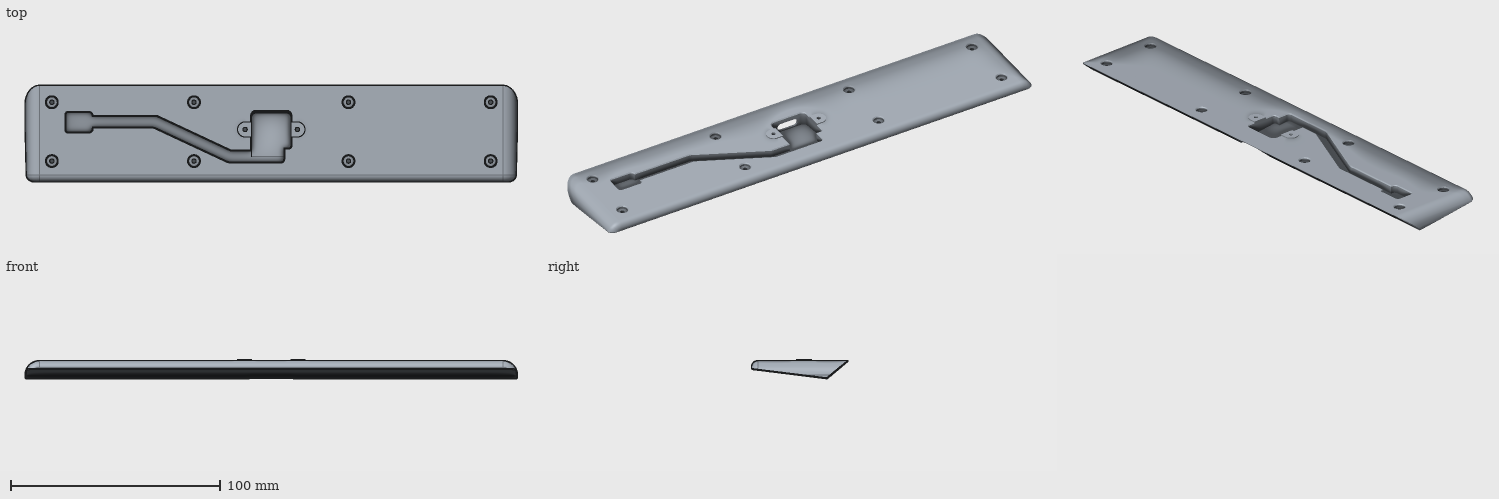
import cadquery as cq
import math


length = 235.36
width = 46.33
total_height = 9.31

bottom_tilt = 7.1
rear_slope = 40.0
end_radius = 7.0
front_radius = 3.3
lower_edge_chamfer = 0.5

screw_x = (-104.8, -36.9, 36.9, 104.8)
screw_y = (-13.1, 15.0)
screw_hole_diameter = 2.08
screw_hole_depth = 4.0
screw_head_diameter = 5.2
screw_head_depth = 1.5

rim_chamfer = 0.45

channel_depth = 4.0
channel_width = 5.2
channel_end_x = 6.0
channel_start_y = 5.7
channel_end_y = -10.95
channel_end_radius = 1.5
bend_start_x = -55.4
bend_end_x = -19.8
bend_radius = 4.0

end_pocket_left = -98.1
end_pocket_right = -85.5
end_pocket_bottom = 0.7
end_pocket_top = 10.2
end_pocket_left_radius = 1.2
end_pocket_right_radius = 1.8

pocket_half_width = 9.4
pocket_back_y = 10.6
pocket_step_y = -6.8
pocket_floor_start_y = -11.0
pocket_front_reach_y = -11.55
pocket_corner_radius = 2.2
pocket_step_radius = 1.2

lug_height = 0.5
lug_x = 12.5
lug_y = 2.0
lug_radius = 3.6
lug_hole_diameter = 2.08
lug_hole_depth = 3.5

port_width = 11.0
port_height = 3.6
port_z = -4.2
port_wall = 1.0
port_start_inset = 2.0
port_cut_length = 10.0
port_recess_width = 21.2
port_recess_top_z = -1.5

front_y = -width / 2
back_y = width / 2
plate_depth = total_height - lug_height
tilt_slope = math.tan(math.radians(bottom_tilt))
rear_tip_y = back_y + lower_edge_chamfer * math.cos(math.radians(rear_slope))
deepest_y = rear_tip_y - plate_depth / math.tan(math.radians(rear_slope))
front_z = -plate_depth + (deepest_y - front_y) * tilt_slope
screw_points = [(x, y) for x in screw_x for y in screw_y]
lug_points = [(side * lug_x, lug_y) for side in (-1, 1)]


def perpendicular_to_underside(shape):
    """Lean a vertical shape so that its walls stand square to the tilted underside."""
    return shape.rotate((0, 0, 0), (1, 0, 0), -bottom_tilt)


def wedge_body():
    profile = [(front_y, 0), (rear_tip_y, 0), (deepest_y, -plate_depth), (front_y, front_z)]
    body = cq.Workplane("YZ").polyline(profile).close().extrude(length / 2, both=True)
    body = body.faces("<X or >X").edges(">Z").fillet(end_radius)
    body = body.faces(">Z").edges("<Y").fillet(front_radius)
    underside = body.faces(cq.selectors.DirectionMinMaxSelector(cq.Vector(0, -tilt_slope, -1), True))
    rear_face = body.faces(cq.selectors.DirectionMinMaxSelector(cq.Vector(0, 1, -1), True))
    shared_edge = "|X and <Z"
    lower_edges = underside.edges().add(rear_face.edges())
    return lower_edges.edges(f"not ({shared_edge})").chamfer(lower_edge_chamfer)


def end_pocket():
    return (
        cq.Workplane("XY")
        .moveTo((end_pocket_left + end_pocket_right) / 2, (end_pocket_bottom + end_pocket_top) / 2)
        .rect(end_pocket_right - end_pocket_left, end_pocket_top - end_pocket_bottom)
        .extrude(-channel_depth)
        .edges("|Z and <X")
        .fillet(end_pocket_left_radius)
        .edges("|Z and >X")
        .fillet(end_pocket_right_radius)
    )


def cable_channel():
    half_width = channel_width / 2
    start_x = (end_pocket_left + end_pocket_right) / 2
    bend_angle = math.atan2(channel_start_y - channel_end_y, bend_end_x - bend_start_x)
    bend_shift = half_width * math.tan(bend_angle / 2)

    def side_points(side):
        return [
            (start_x, channel_start_y + side * half_width),
            (bend_start_x + side * bend_shift, channel_start_y + side * half_width),
            (bend_end_x + side * bend_shift, channel_end_y + side * half_width),
            (channel_end_x, channel_end_y + side * half_width),
        ]

    outline = side_points(1) + side_points(-1)[::-1]
    channel = cq.Workplane("XY").polyline(outline).close().extrude(-channel_depth)
    channel = channel.edges("|Z and >X and <Y").fillet(channel_end_radius)
    bends = cq.selectors.BoxSelector(
        (bend_start_x - channel_width, -width, -total_height),
        (bend_end_x + channel_width, width, total_height),
    )
    return channel.edges("|Z").edges(bends).fillet(bend_radius)


def main_pocket():
    """Pocket with a floor parallel to the underside, starting at the channel floor."""
    reach = 2 * total_height
    wide_part = (
        cq.Workplane("XY")
        .center(0, (pocket_back_y + pocket_step_y) / 2)
        .rect(2 * pocket_half_width, pocket_back_y - pocket_step_y)
        .extrude(reach, both=True)
        .edges("|Z and >Y")
        .fillet(pocket_corner_radius)
        .edges("|Z and >X and <Y")
        .fillet(pocket_step_radius)
    )
    narrow_part = (
        cq.Workplane("XY")
        .center((channel_end_x - pocket_half_width) / 2, pocket_front_reach_y / 2)
        .rect(channel_end_x + pocket_half_width, -pocket_front_reach_y)
        .extrude(reach, both=True)
    )
    floor_back_z = -channel_depth - (back_y - pocket_floor_start_y) * tilt_slope
    space_profile = [
        (pocket_floor_start_y, 0),
        (pocket_floor_start_y, -channel_depth),
        (back_y, floor_back_z),
        (back_y, 0),
    ]
    space_above_floor = cq.Workplane("YZ").polyline(space_profile).close().extrude(length / 2, both=True)
    return perpendicular_to_underside(wide_part.union(narrow_part)).intersect(space_above_floor)


def with_rim_bevel(recess):
    """Widen the mouth of a recess by a 45 degree bevel at the plate face.

    The bevel is cut on the rim of the recess in a plain block; the void left in the block is returned.
    """
    block = cq.Workplane("XY").rect(length, width).extrude(-2 * total_height)
    mouth = cq.selectors.BoxSelector(
        (rim_chamfer - length / 2, rim_chamfer - width / 2, -rim_chamfer / 2),
        (length / 2 - rim_chamfer, width / 2 - rim_chamfer, rim_chamfer / 2),
    )
    return block.cut(block.cut(recess).edges(mouth).chamfer(rim_chamfer))


def lugs():
    """Raised pads that also fill the pocket bevel where they meet the pocket wall."""
    arm_length = lug_x - pocket_half_width
    arm_points = [(side * (lug_x - arm_length / 2), lug_y) for side in (-1, 1)]
    thickness = lug_height + rim_chamfer
    base = cq.Workplane("XY", origin=(0, 0, -rim_chamfer))
    pads = base.pushPoints(lug_points).circle(lug_radius).extrude(thickness)
    arms = base.pushPoints(arm_points).rect(arm_length, 2 * lug_radius).extrude(thickness)
    pocket_opening = cq.Workplane("XY").box(2 * pocket_half_width, width, 2 * total_height)
    return pads.union(arms).cut(pocket_opening)


def screw_holes():
    plate = cq.Workplane("XY").pushPoints(screw_points)
    heads = plate.circle(screw_head_diameter / 2).extrude(-screw_head_depth)
    bevels = plate.circle(screw_head_diameter / 2 + rim_chamfer).extrude(-rim_chamfer, taper=45)
    shanks = plate.circle(screw_hole_diameter / 2).extrude(-screw_hole_depth)
    return heads.union(bevels).union(shanks)


def lug_holes():
    return (
        cq.Workplane("XY", origin=(0, 0, lug_height))
        .pushPoints(lug_points)
        .circle(lug_hole_diameter / 2)
        .extrude(-lug_hole_depth)
    )


def port():
    """Slot through the rear wall of the main pocket, with a wider recess outside it."""
    recess = (
        cq.Workplane("XY")
        .box(port_recess_width, width, 4 * total_height, centered=(True, False, True))
        .translate((0, pocket_back_y + port_wall, 0))
    )
    below_recess_top = (
        cq.Workplane("XY", origin=(0, 0, port_recess_top_z))
        .rect(length, 2 * width)
        .extrude(-total_height)
    )
    slot = (
        cq.Workplane("XZ", origin=(0, pocket_back_y - port_start_inset, port_z))
        .slot2D(port_width, port_height)
        .extrude(-port_cut_length)
    )
    return perpendicular_to_underside(recess).intersect(below_recess_top).union(slot)


body = wedge_body()
for recess in (end_pocket(), cable_channel(), main_pocket()):
    body = body.cut(with_rim_bevel(recess))
result = body.union(lugs()).cut(screw_holes()).cut(lug_holes()).cut(port())